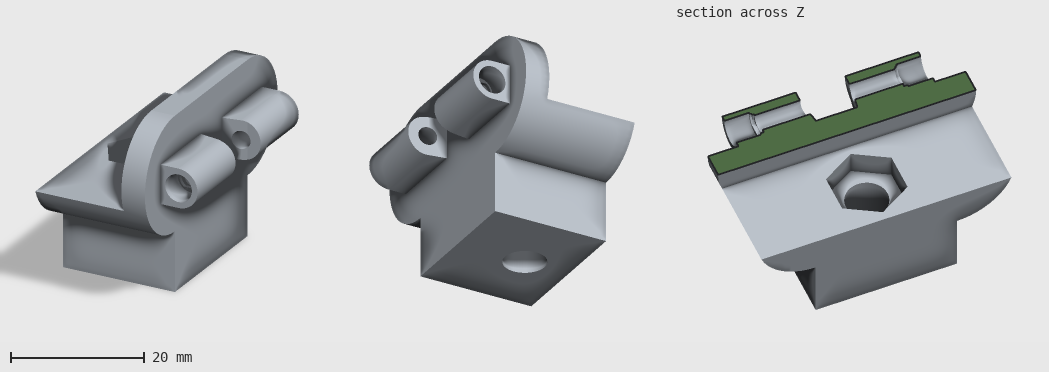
import cadquery as cq

body_width = 42.0
body_depth = 19.0
body_height = 19.0
foot_height = 10.0
foot_width = body_width - body_height
body_center_z = foot_height + body_height / 2

plate_thickness = 4.0
shelf_z = 16.0
shelf_depth = body_depth - plate_thickness

bolt_x = shelf_depth / 2
bolt_diameter = 6.75
nut_corner_diameter = 12.3
nut_pocket_depth = 4.0

total_depth = 25.25
lug_radius = 3.25
lug_outer_y = 16.0
lug_root_half_gap = 3.35
lug_tip_half_gap = 4.0
lug_taper_length = 4.0
lug_axis_x = total_depth - lug_radius

pin_diameter = 3.0
counterbore_diameter = 4.55
counterbore_depth = 4.0
step_diameter = 4.0
step_width = 3.15
step_depth = 0.3
step_flat_offset = 1.7


def make_body():
    """Foot and stadium bar, cut away above the shelf in front of the plate."""
    bar = (
        cq.Workplane("YZ")
        .center(0, body_center_z)
        .slot2D(body_width, body_height)
        .extrude(body_depth)
    )
    foot = cq.Workplane("XY").box(
        body_depth, foot_width, body_center_z, centered=(False, True, False)
    )
    space_above_shelf = cq.Workplane("XY", origin=(0, 0, shelf_z)).box(
        shelf_depth, body_width, body_height, centered=(False, True, False)
    )
    return bar.union(foot).cut(space_above_shelf)


def make_bolt_cutter():
    """Through hole and hexagonal pocket with two corners along X."""
    hole = cq.Workplane("XY").center(bolt_x, 0).circle(bolt_diameter / 2).extrude(shelf_z)
    pocket = (
        cq.Workplane("XY", origin=(bolt_x, 0, shelf_z))
        .polygon(6, nut_corner_diameter)
        .extrude(-nut_pocket_depth)
    )
    return hole.union(pocket)


def lug_plane(y):
    """Plane on the pin axis at the given Y; extrusions run towards +Y."""
    return cq.Workplane(cq.Plane((lug_axis_x, y, body_center_z), (1, 0, 0), (0, 1, 0)))


def make_lug():
    """Round-ended lug on the -Y side, with a tapered inner face and a stepped bore."""
    root_x = body_depth - lug_axis_x
    profile = (
        lug_plane(-lug_outer_y)
        .moveTo(root_x, -lug_radius)
        .lineTo(0, -lug_radius)
        .lineTo(0, lug_radius)
        .lineTo(root_x, lug_radius)
        .close()
        .extrude(lug_outer_y)
    )
    round_end = lug_plane(-lug_outer_y).circle(lug_radius).extrude(lug_outer_y)
    envelope = (
        cq.Workplane("XY")
        .moveTo(body_depth, -lug_outer_y)
        .lineTo(total_depth, -lug_outer_y)
        .lineTo(total_depth, -lug_tip_half_gap)
        .lineTo(body_depth + lug_taper_length, -lug_tip_half_gap)
        .lineTo(body_depth, -lug_root_half_gap)
        .close()
        .extrude(foot_height + body_height)
    )
    return profile.union(round_end).intersect(envelope).cut(make_bore())


def make_bore():
    """Pin hole, counterbore and two shallow flat-sided steps between them."""
    first_step_y = -lug_outer_y + counterbore_depth
    second_step_y = first_step_y + step_depth
    pin = lug_plane(-lug_outer_y).circle(pin_diameter / 2).extrude(lug_outer_y)
    counterbore = (
        lug_plane(-lug_outer_y).circle(counterbore_diameter / 2).extrude(counterbore_depth)
    )
    first_step = make_step(first_step_y, step_diameter / 2)
    second_step = make_step(second_step_y, step_flat_offset)
    return pin.union(counterbore).union(first_step).union(second_step)


def make_step(y, back_limit):
    """Disc between two horizontal flats, trimmed at back_limit behind the axis."""
    front_limit = -step_diameter / 2
    disc = lug_plane(y).circle(step_diameter / 2).extrude(step_depth)
    flats = (
        lug_plane(y)
        .center((front_limit + back_limit) / 2, 0)
        .rect(back_limit - front_limit, step_width)
        .extrude(step_depth)
    )
    return disc.intersect(flats)


lug = make_lug()
result = make_body().cut(make_bolt_cutter()).union(lug).union(lug.mirror("XZ"))